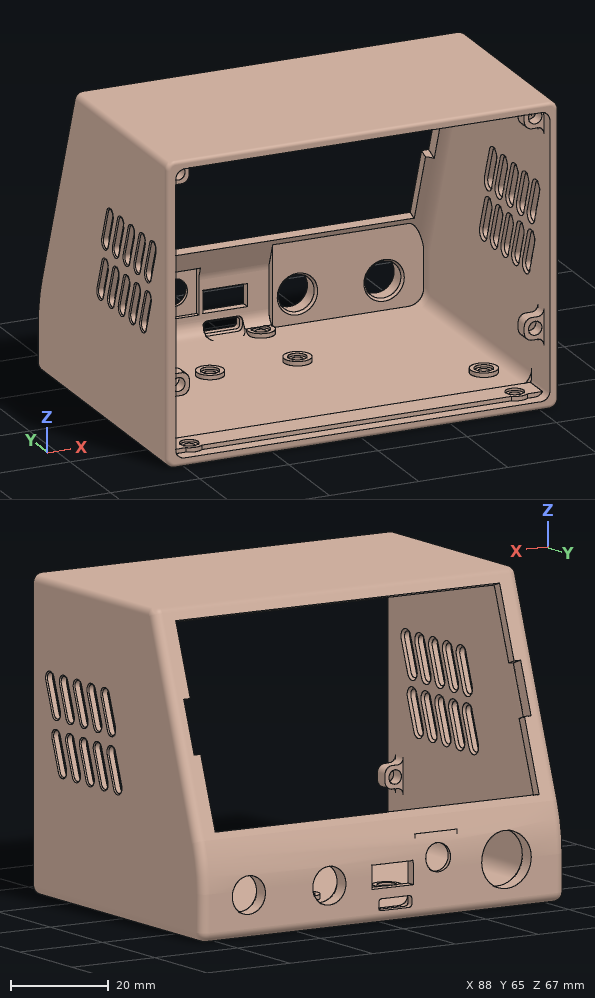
import cadquery as cq
import math

WIDTH = 88.0
DEPTH = 65.0
HEIGHT = 67.0
WALL = 2.0
SLOPE = math.radians(20)
BREAK_HEIGHT = 15.7
BEND_RADIUS = 31.7
EDGE_FILLET = 2.0
RIM_FILLET = 1.0
CAVITY_FILLET = 4.0
LID_DEPTH = 3.0
MOUTH_DEPTH = 9.0
EPS = 0.01

RIDGE_HEIGHT = 1.0
BOSS_HOLE = 3.0
BOSS_SIZE = 4.9
BOSS_LENGTH = 3.0
BOSS_ROUND = 1.8
BOSS_BLEND = 1.4
BOSS_INSET = 4.0
LOW_BOSS_Z = 17.0

PAD_DIAMETER = 6.0
PAD_RECESS = 4.0
PAD_HOLE = 2.3
PAD_RECESS_DEPTH = 0.5
PAD_POSITIONS = [(-36.5, 5.4), (36.5, 5.4), (36.5, 20.6), (-15.0, 42.5), (4.7, 42.5), (4.7, 60.5)]

WINDOW_WIDTH = 78.1
WINDOW_LENGTH = 44.2
WINDOW_CENTER_Z = 43.2
NOTCH_WIDTH = 81.3
NOTCH_LENGTH = 11.6
WINDOW_CUT = 5.3

PANEL_THICKNESS = 4.0
PANEL_TOP = 21.6
LEFT_PANEL_END = -21.8
RIGHT_PANEL_START = 7.6
HOLE_CHAMFER = 0.5
PANEL_HOLES = [(-29.7, 10.2, 12.0), (13.1, 9.1, 8.0), (32.6, 9.1, 8.0)]

JACK_X = -13.2
JACK_Z = 12.3
JACK_WIDTH = 10.1
JACK_HEIGHT = 10.5
JACK_HOLE = 6.0
JACK_WEB = 1.0

PORT_X = -2.2
PORT_Z = 9.8
PORT_WIDTH = 9.9
PORT_HEIGHT = 5.0
USB_X = -2.8
USB_Z = 3.9
USB_WIDTH = 8.0
USB_HEIGHT = 2.5
USB_ROUND = 0.7
USB_FLARE = 0.4

VENT_WIDTH = 2.6
VENT_LENGTH = 9.8
VENT_PITCH = 5.3
VENT_COUNT = 5
VENT_ROWS = [(8.2, 42.6), (10.6, 30.9)]
VENT_OUTER_CHAMFER = 0.3
VENT_INNER_CHAMFER = 0.5


def wedge(inset):
    """Five-sided body, moved inwards by inset on every side but the open end."""
    front = DEPTH - inset
    top = HEIGHT - inset
    bend_z = BREAK_HEIGHT - inset * math.tan(SLOPE / 2)
    top_y = front - (top - bend_z) * math.tan(SLOPE)
    outline = [(0, inset), (front, inset), (front, bend_z), (top_y, top), (0, top)]
    return cq.Workplane("YZ").polyline(outline).close().extrude(WIDTH / 2 - inset, both=True)


def block(x0, x1, y0, y1, z0, z1):
    return cq.Workplane("XY").box(x1 - x0, y1 - y0, z1 - z0, centered=False).translate((x0, y0, z0))


def behind(y):
    """Selector for everything lying beyond a given Y."""
    return cq.selectors.BoxSelector((-WIDTH, y, -HEIGHT), (WIDTH, 2 * DEPTH, 2 * HEIGHT))


def rear_drill(x, z, diameter, y0, y1):
    return cq.Workplane("XZ", origin=(x, y0, z)).circle(diameter / 2).extrude(y0 - y1)


def outer_body():
    bend = cq.selectors.BoxSelector(
        (-WIDTH, DEPTH - EPS, BREAK_HEIGHT - EPS), (WIDTH, DEPTH + EPS, BREAK_HEIGHT + EPS)
    )
    body = wedge(0).edges(bend).fillet(BEND_RADIUS)
    body = body.edges(behind(EPS)).fillet(EDGE_FILLET)
    return body.faces("<Y").edges().fillet(RIM_FILLET)


def cavity():
    main = wedge(WALL).edges(behind(EPS)).fillet(CAVITY_FILLET)
    half = WIDTH / 2 - WALL
    mouth = block(-half, half, 0, MOUTH_DEPTH, WALL, HEIGHT - WALL).edges("|Y").fillet(EDGE_FILLET)
    return main.union(mouth)


def ridge():
    return block(-WIDTH / 2 + WALL, WIDTH / 2 - WALL, LID_DEPTH, MOUTH_DEPTH, WALL / 2, WALL + RIDGE_HEIGHT)


def near_column(x, z):
    """Selector for edges along Y at a given x and z."""
    margin = 0.2
    return cq.selectors.BoxSelector((x - margin, -DEPTH, z - margin), (x + margin, DEPTH, z + margin))


def boss_collar():
    """Thin ring sunk in the walls that carries the four lid screw bosses."""
    y1 = LID_DEPTH + BOSS_LENGTH
    half = WIDTH / 2 - WALL
    sunk = WALL / 2
    collar = block(-half - sunk, half + sunk, LID_DEPTH, y1, sunk, HEIGHT - sunk).cut(
        block(-half, half, 0, DEPTH, WALL, HEIGHT - WALL).edges("|Y").fillet(EDGE_FILLET)
    )
    screw_x = WIDTH / 2 - BOSS_INSET
    top_z = HEIGHT - BOSS_INSET
    reach = BOSS_SIZE / 2
    convex = []
    concave = []
    for side in (-1, 1):
        inner = side * (screw_x - reach)
        wall = side * half
        x0, x1 = sorted((inner, side * (half + sunk)))
        collar = collar.union(block(x0, x1, LID_DEPTH, y1, LOW_BOSS_Z - reach, LOW_BOSS_Z + reach))
        collar = collar.union(block(x0, x1, LID_DEPTH, y1, top_z - reach, HEIGHT - sunk))
        corner_heights = (LOW_BOSS_Z - reach, LOW_BOSS_Z + reach, top_z - reach)
        convex += [(inner, z) for z in corner_heights]
        concave += [(wall, z) for z in corner_heights]
        concave.append((inner, HEIGHT - WALL))
    for x, z in convex:
        collar = collar.edges(near_column(x, z)).fillet(BOSS_ROUND)
    for x, z in concave:
        collar = collar.edges(near_column(x, z)).fillet(BOSS_BLEND)
    for x in (-screw_x, screw_x):
        for z in (LOW_BOSS_Z, top_z):
            collar = collar.cut(rear_drill(x, z, BOSS_HOLE, LID_DEPTH, y1))
    return collar


def floor_cylinders(diameter, z0, z1):
    plane = cq.Workplane("XY", origin=(0, 0, z0))
    return plane.pushPoints(PAD_POSITIONS).circle(diameter / 2).extrude(z1 - z0)


def front_panels():
    """Thickened lower front wall to the left and right of the connectors."""
    side = WIDTH / 2 - WALL / 2
    y0 = DEPTH - PANEL_THICKNESS
    left = block(-side, LEFT_PANEL_END, y0, DEPTH, WALL / 2, PANEL_TOP)
    right = block(RIGHT_PANEL_START, side, y0, DEPTH, WALL / 2, PANEL_TOP)
    return left.union(right)


def panel_holes():
    """Round holes through the thickened panels, chamfered on the inside."""
    panel_y = DEPTH - PANEL_THICKNESS
    cutter = cq.Workplane("XY")
    for x, z, diameter in PANEL_HOLES:
        mouth = diameter / 2 + HOLE_CHAMFER
        cone = cq.Solid.makeCone(
            mouth, diameter / 2, HOLE_CHAMFER, cq.Vector(x, panel_y, z), cq.Vector(0, 1, 0)
        )
        cutter = cutter.add(rear_drill(x, z, diameter, panel_y, DEPTH).union(cq.Workplane(cone)))
    return cutter.combine()


def front_window(x, z, width, height, y1):
    """Rectangular cutter along Y that starts in the cavity and ends at y1."""
    y0 = DEPTH - WALL - CAVITY_FILLET
    return block(x - width / 2, x + width / 2, y0, y1, z - height / 2, z + height / 2)


def connector_cutouts():
    """Pocket and hole for the jack, a plain port and the flared USB slot."""
    pocket = front_window(JACK_X, JACK_Z, JACK_WIDTH, JACK_HEIGHT, DEPTH - JACK_WEB)
    hole = rear_drill(JACK_X, JACK_Z, JACK_HOLE, DEPTH - WALL, DEPTH)
    port = front_window(PORT_X, PORT_Z, PORT_WIDTH, PORT_HEIGHT, DEPTH)
    slot = front_window(USB_X, USB_Z, USB_WIDTH, USB_HEIGHT, DEPTH).edges("|Y").fillet(USB_ROUND)
    flared_width = USB_WIDTH + 2 * USB_FLARE
    flared_height = USB_HEIGHT + 2 * USB_FLARE
    flare = front_window(USB_X, USB_Z, flared_width, flared_height, DEPTH - WALL + USB_FLARE)
    flare = flare.edges("|Y").fillet(USB_ROUND + USB_FLARE).faces(">Y").chamfer(USB_FLARE - EPS)
    return pocket.union(hole).union(port).union(slot).union(flare)


def display_window():
    opening = cq.Workplane("XY").box(WINDOW_WIDTH, 2 * WINDOW_CUT, WINDOW_LENGTH)
    notches = cq.Workplane("XY").box(NOTCH_WIDTH, 2 * WINDOW_CUT, NOTCH_LENGTH)
    slope_y = DEPTH - (WINDOW_CENTER_Z - BREAK_HEIGHT) * math.tan(SLOPE)
    tilted = opening.union(notches).rotate((0, 0, 0), (1, 0, 0), math.degrees(SLOPE))
    return tilted.translate((0, slope_y, WINDOW_CENTER_Z))


def vents():
    """Leaning slots through both side walls, chamfered on both faces of the wall."""
    points = [(y + i * VENT_PITCH, z) for y, z in VENT_ROWS for i in range(VENT_COUNT)]
    angle = 90 + math.degrees(SLOPE)

    def slots(x, widening):
        plane = cq.Workplane("YZ", origin=(x, 0, 0)).pushPoints(points)
        return plane.slot2D(VENT_LENGTH + 2 * widening, VENT_WIDTH + 2 * widening, angle)

    outer = WIDTH / 2
    inner = outer - WALL
    cutter = slots(inner, 0).extrude(WALL)
    cutter = cutter.union(slots(outer - VENT_OUTER_CHAMFER, 0).extrude(VENT_OUTER_CHAMFER, taper=-45))
    cutter = cutter.union(slots(inner, VENT_INNER_CHAMFER).extrude(VENT_INNER_CHAMFER, taper=45))
    return cutter.union(cutter.mirror("YZ"))


PAD_TOP = WALL + RIDGE_HEIGHT
shell = outer_body()
added = front_panels().union(ridge()).union(floor_cylinders(PAD_DIAMETER, WALL / 2, PAD_TOP))
result = shell.cut(cavity()).union(added.intersect(shell)).union(boss_collar())
result = result.cut(panel_holes()).cut(connector_cutouts()).cut(display_window()).cut(vents())
result = result.cut(floor_cylinders(PAD_HOLE, 0, PAD_TOP))
result = result.cut(floor_cylinders(PAD_RECESS, PAD_TOP - PAD_RECESS_DEPTH, PAD_TOP))